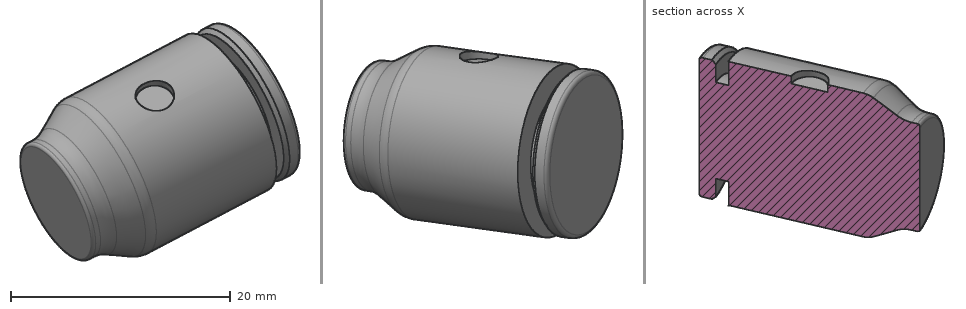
import cadquery as cq
import math

total_length = 21.83
body_radius = 8.0
nose_radius = 6.0
neck_radius = 5.37
flange_radius = 7.75

flange_thickness = 1.7
flange_edge_round = 0.4
flange_edge_chamfer = 0.4
neck_length = 1.22

nose_edge_round = 0.3
nose_straight_end = 0.83
taper_angle = math.radians(30)
waist_round = 3.0
shoulder_round = 2.0

recess_radius = 1.77
recess_depth = 0.83
recess_y = total_length / 2

flange_start = total_length - flange_thickness
body_end = flange_start - neck_length

round_rise = 1 - math.cos(taper_angle)
taper_start_radius = nose_radius + waist_round * round_rise
taper_end_radius = body_radius - shoulder_round * round_rise
taper_length = (taper_end_radius - taper_start_radius) / math.tan(taper_angle)
taper_start = nose_straight_end + waist_round * math.sin(taper_angle)
taper_end = taper_start + taper_length
shoulder_end = taper_end + shoulder_round * math.sin(taper_angle)


def arc_point(center_radius, center_y, arc_radius, angle):
    """Point (radius, y) on a circle, at an angle measured from the radial direction."""
    return (center_radius + arc_radius * math.cos(angle), center_y + arc_radius * math.sin(angle))


def make_turned_body():
    """Revolve the half profile, drawn as (radius, y), around the Y axis."""
    eighth_turn = math.pi / 4
    nose_round_middle = arc_point(
        nose_radius - nose_edge_round, nose_edge_round, nose_edge_round, -eighth_turn
    )
    waist_middle = arc_point(
        nose_radius + waist_round, nose_straight_end, waist_round, math.pi - taper_angle / 2
    )
    shoulder_middle = arc_point(
        body_radius - shoulder_round, shoulder_end, shoulder_round, -taper_angle / 2
    )
    flange_round_start = total_length - flange_edge_round
    flange_round_middle = arc_point(
        flange_radius - flange_edge_round, flange_round_start, flange_edge_round, eighth_turn
    )
    profile = (
        cq.Workplane("XY")
        .lineTo(nose_radius - nose_edge_round, 0)
        .threePointArc(nose_round_middle, (nose_radius, nose_edge_round))
        .lineTo(nose_radius, nose_straight_end)
        .threePointArc(waist_middle, (taper_start_radius, taper_start))
        .lineTo(taper_end_radius, taper_end)
        .threePointArc(shoulder_middle, (body_radius, shoulder_end))
        .lineTo(body_radius, body_end)
        .lineTo(neck_radius, body_end)
        .lineTo(neck_radius, flange_start)
        .lineTo(flange_radius - flange_edge_chamfer, flange_start)
        .lineTo(flange_radius, flange_start + flange_edge_chamfer)
        .lineTo(flange_radius, flange_round_start)
        .threePointArc(flange_round_middle, (flange_radius - flange_edge_round, total_length))
        .lineTo(0, total_length)
        .close()
    )
    return profile.revolve(360, (0, 0, 0), (0, 1, 0))


def make_badge_recess():
    """Round flat-bottomed pocket cut down from the top of the body."""
    return (
        cq.Workplane("XY", origin=(0, recess_y, body_radius - recess_depth))
        .circle(recess_radius)
        .extrude(recess_depth)
    )


result = make_turned_body().cut(make_badge_recess())